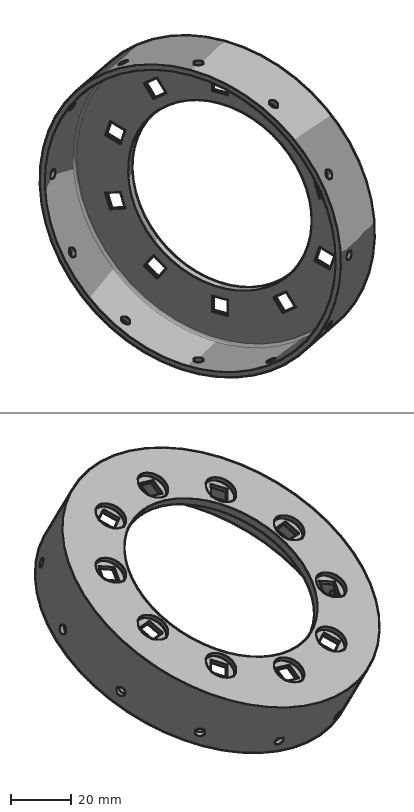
import cadquery as cq
import math

outer_radius = 57.5
ring_length = 23.0
wall_thickness = 2.0
flange_thickness = 3.0
bore_radius = 35.0
corner_fillet = 1.0

window_count = 10
window_side = 6.0
window_circle_radius = 42.0
recess_diameter = 11.0
recess_depth = 1.6

pin_hole_count = 12
pin_hole_diameter = 3.3
pin_hole_rim_distance = 5.5

rim_y = -ring_length / 2
back_y = ring_length / 2
flange_y = back_y - flange_thickness
inner_radius = outer_radius - wall_thickness


def around_axis(shape, count):
    """Spread copies of a shape evenly about the ring axis."""
    copies = cq.Workplane("XY")
    for index in range(count):
        angle = index * 360 / count
        copies = copies.add(shape.rotate((0, 0, 0), (0, 1, 0), angle))
    return copies.combine()


def ring_body():
    """Revolve the L-shaped section, with a fillet between wall and flange."""
    fillet_y = flange_y - corner_fillet
    fillet_radius = inner_radius - corner_fillet
    arc_reach = corner_fillet * math.sqrt(0.5)
    section = (
        cq.Workplane("YZ")
        .moveTo(back_y, bore_radius)
        .lineTo(back_y, outer_radius)
        .lineTo(rim_y, outer_radius)
        .lineTo(rim_y, inner_radius)
        .lineTo(fillet_y, inner_radius)
        .threePointArc(
            (fillet_y + arc_reach, fillet_radius + arc_reach),
            (flange_y, fillet_radius),
        )
        .lineTo(flange_y, bore_radius)
        .close()
    )
    return section.revolve(360, (0, 0, 0), (1, 0, 0))


def recessed_windows():
    """Square through windows, two sides facing the axis, recessed from the back."""
    back_face = cq.Workplane("XZ", origin=(0, back_y, window_circle_radius))
    window = back_face.rect(window_side, window_side).extrude(flange_thickness)
    recess = back_face.circle(recess_diameter / 2).extrude(recess_depth)
    return around_axis(window.union(recess), window_count)


def pin_holes():
    """Radial round holes that cross only the wall."""
    hole_y = rim_y + pin_hole_rim_distance
    hole = (
        cq.Workplane("XY", origin=(0, hole_y, inner_radius - wall_thickness))
        .circle(pin_hole_diameter / 2)
        .extrude(3 * wall_thickness)
    )
    return around_axis(hole, pin_hole_count)


result = ring_body().cut(recessed_windows()).cut(pin_holes())